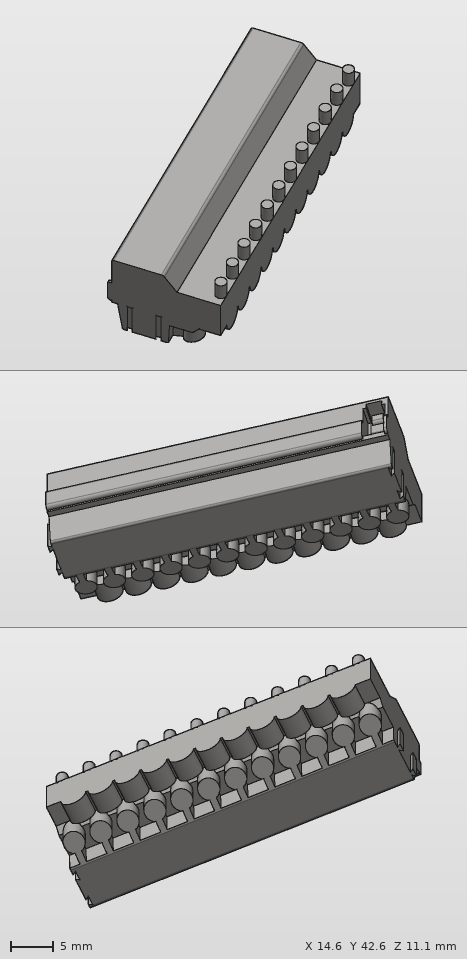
import cadquery as cq

TOTAL_LENGTH = 42.6
TAIL_DEPTH = 0.45
BODY_LENGTH = TOTAL_LENGTH - TAIL_DEPTH
WIDTH = 14.6
HEIGHT = 11.1

POLE_COUNT = 12
FIRST_POLE_Y = 1.75
LAST_POLE_Y = 40.25
POLE_PITCH = (LAST_POLE_Y - FIRST_POLE_Y) / (POLE_COUNT - 1)

FACE_X = 0.55
RAIL_TOP_Z = 7.25
RAIL_BOTTOM_Z = 4.25
RAIL_TOP_ROUND = 0.3
RAIL_BOTTOM_ROUND = 0.5
PLUG_TOP_Z = 4.0
PLUG_LEFT_TOP_X = 1.3
PLUG_LEFT_BOTTOM_X = 1.95
PLUG_RIGHT_BOTTOM_X = 7.62
PLUG_RIGHT_LOW_X = 7.88
PLUG_RIGHT_TOP_X = 8.0
PLUG_ROUND = 0.3
RIDGE_RIGHT_X = 7.2
RIDGE_LEFT_ROUND = 0.25
RIDGE_RIGHT_ROUND = 0.5
DECK_LEFT_X = 9.0
DECK_Z = 9.0
SHELF_Z = 3.0
SHELF_RIGHT_X = 11.0
OVERHANG_LEFT_X = 11.8
OVERHANG_Z = 3.9

UNDERSIDE_END_X = OVERHANG_LEFT_X
UNDERSIDE_END_Z = 1.15
UNDERSIDE_SLOPE = UNDERSIDE_END_Z / (UNDERSIDE_END_X - PLUG_RIGHT_BOTTOM_X)

PIN_RADIUS = 0.72
PIN_X = WIDTH - PIN_RADIUS

POST_RADIUS = 1.3
POST_X = UNDERSIDE_END_X - POST_RADIUS
POST_WEB_THICKNESS = 0.85

RIB_RADIUS = 1.6

TAIL_XS = (2.9, 6.6)
TAIL_NECK = 0.43
TAIL_HEAD = 1.02
GROOVE_CLEARANCE = 0.2

POCKET_Y0 = 0.4
POCKET_Y1 = 3.1
POCKET_MID_Y = (POCKET_Y0 + POCKET_Y1) / 2
POCKET_BACK_X = 2.73
POCKET_TOP_Z = 9.8
NOTCH_WIDTH = 1.9
NOTCH_TOP_Z = 10.47
CEILING_DROP = 0.25
LIP_Z = 4.75
LIP_END_X = 1.2
LIP_RISE = 0.13

LATCH_FACE_X = 2.1
UPPER_TONGUE_WIDTH = 1.4
UPPER_TONGUE_TOP_Z = 10.0
UPPER_TONGUE_BOTTOM_Z = 8.6
UPPER_TONGUE_ROUND = 0.5
PLATE_WIDTH = 1.85
PLATE_X = 2.43
PLATE_TOP_Z = 9.03
PLATE_BEND_Z = 7.25
PLATE_BOTTOM_Z = 6.4
PLATE_TAPER = 0.13
LOWER_TONGUE_WIDTH = 1.58
LOWER_TONGUE_TOP_Z = 6.85
LOWER_TONGUE_FACE_TOP_Z = 6.35
LOWER_TONGUE_BOTTOM_Z = 5.0
LOWER_TONGUE_ROUND = 0.45


def along_y(points, y_start, y_end):
    """Prism with an X-Z outline, running from y_start to y_end."""
    return (
        cq.Workplane("XZ", origin=(0, y_start, 0))
        .polyline(points)
        .close()
        .extrude(y_start - y_end)
    )


def across_pocket(points, width):
    """Prism with an X-Z outline, centred on the pocket."""
    return along_y(points, POCKET_MID_Y - width / 2, POCKET_MID_Y + width / 2)


def round_edge(solid, x, z, radius):
    """Fillet the lengthwise edge that passes closest to (x, z)."""
    middle_y = solid.val().BoundingBox().center.y
    edge = cq.selectors.NearestToPointSelector((x, middle_y, z))
    return solid.edges("|Y").edges(edge).fillet(radius)


def underside_z(x):
    """Height of the sloping underside at x."""
    return UNDERSIDE_SLOPE * (x - PLUG_RIGHT_BOTTOM_X)


def make_housing():
    """Housing with its constant cross-section and rounded lengthwise edges."""
    outline = [
        (PLUG_LEFT_BOTTOM_X, 0),
        (PLUG_RIGHT_BOTTOM_X, 0),
        (PLUG_RIGHT_LOW_X, underside_z(PLUG_RIGHT_LOW_X)),
        (PLUG_RIGHT_TOP_X, SHELF_Z),
        (SHELF_RIGHT_X, SHELF_Z),
        (OVERHANG_LEFT_X, OVERHANG_Z),
        (WIDTH, OVERHANG_Z),
        (WIDTH, DECK_Z),
        (DECK_LEFT_X, DECK_Z),
        (RIDGE_RIGHT_X, HEIGHT),
        (FACE_X, HEIGHT),
        (FACE_X, RAIL_TOP_Z),
        (0, RAIL_TOP_Z),
        (0, RAIL_BOTTOM_Z),
        (FACE_X, RAIL_BOTTOM_Z),
        (FACE_X, PLUG_TOP_Z),
        (PLUG_LEFT_TOP_X, PLUG_TOP_Z),
    ]
    housing = along_y(outline, 0, BODY_LENGTH)
    housing = round_edge(housing, PLUG_LEFT_BOTTOM_X, 0, PLUG_ROUND)
    housing = round_edge(housing, FACE_X, HEIGHT, RIDGE_LEFT_ROUND)
    housing = round_edge(housing, RIDGE_RIGHT_X, HEIGHT, RIDGE_RIGHT_ROUND)
    housing = round_edge(housing, 0, RAIL_TOP_Z, RAIL_TOP_ROUND)
    return round_edge(housing, 0, RAIL_BOTTOM_Z, RAIL_BOTTOM_ROUND)


def make_pin(y):
    """Upright pin that ends level with the top of the housing."""
    return cq.Workplane("XY", origin=(PIN_X, y, DECK_Z)).circle(PIN_RADIUS).extrude(HEIGHT - DECK_Z)


def make_post(y):
    """Round post with a web back to the plug, cut off by the sloping underside."""
    web_length = POST_X - PLUG_RIGHT_BOTTOM_X
    post = cq.Workplane("XY", origin=(POST_X, y, 0)).circle(POST_RADIUS).extrude(OVERHANG_Z)
    web = (
        cq.Workplane("XY", origin=(POST_X - web_length / 2, y, 0))
        .rect(web_length, POST_WEB_THICKNESS)
        .extrude(OVERHANG_Z)
    )
    envelope = along_y(
        [
            (PLUG_RIGHT_BOTTOM_X, 0),
            (UNDERSIDE_END_X, UNDERSIDE_END_Z),
            (UNDERSIDE_END_X, OVERHANG_Z),
            (PLUG_RIGHT_BOTTOM_X, OVERHANG_Z),
        ],
        y - POST_RADIUS,
        y + POST_RADIUS,
    )
    return post.union(web).intersect(envelope)


def make_rib(y):
    """Rod along X whose upper half lies inside the housing."""
    return (
        cq.Workplane("YZ", origin=(OVERHANG_LEFT_X, y, OVERHANG_Z))
        .circle(RIB_RADIUS)
        .extrude(WIDTH - OVERHANG_LEFT_X)
    )


def make_dovetail(x, y, extra_width):
    """Dovetail as tall as the plug, widening towards +Y from its neck at y."""
    neck = (TAIL_NECK + extra_width) / 2
    head = (TAIL_HEAD + extra_width) / 2
    outline = [
        (x - neck, y),
        (x + neck, y),
        (x + head, y + TAIL_DEPTH),
        (x - head, y + TAIL_DEPTH),
    ]
    return cq.Workplane("XY").polyline(outline).close().extrude(PLUG_TOP_Z)


def make_pocket():
    """Latch pocket with a sloping lip and ceiling, raised by a narrower notch in the middle."""
    pocket = along_y(
        [
            (FACE_X, LIP_Z),
            (LIP_END_X, LIP_Z + LIP_RISE),
            (POCKET_BACK_X, LIP_Z + LIP_RISE),
            (POCKET_BACK_X, POCKET_TOP_Z - CEILING_DROP),
            (FACE_X, POCKET_TOP_Z),
            (0, POCKET_TOP_Z),
            (0, PLUG_TOP_Z),
            (FACE_X, PLUG_TOP_Z),
        ],
        POCKET_Y0,
        POCKET_Y1,
    )
    notch = across_pocket(
        [
            (FACE_X, LIP_Z + LIP_RISE),
            (POCKET_BACK_X, LIP_Z + LIP_RISE),
            (POCKET_BACK_X, NOTCH_TOP_Z - CEILING_DROP),
            (FACE_X, NOTCH_TOP_Z),
        ],
        NOTCH_WIDTH,
    )
    return pocket.union(notch)


def make_latch():
    """Two rounded tongues and the plate between them."""
    upper = across_pocket(
        [
            (LATCH_FACE_X, UPPER_TONGUE_BOTTOM_Z),
            (POCKET_BACK_X, UPPER_TONGUE_BOTTOM_Z),
            (POCKET_BACK_X, UPPER_TONGUE_TOP_Z),
            (LATCH_FACE_X, UPPER_TONGUE_TOP_Z),
        ],
        UPPER_TONGUE_WIDTH,
    )
    plate = across_pocket(
        [
            (PLATE_X + PLATE_TAPER, PLATE_BOTTOM_Z),
            (POCKET_BACK_X, PLATE_BOTTOM_Z),
            (POCKET_BACK_X, PLATE_TOP_Z),
            (PLATE_X, PLATE_TOP_Z),
            (PLATE_X, PLATE_BEND_Z),
        ],
        PLATE_WIDTH,
    )
    lower = across_pocket(
        [
            (LATCH_FACE_X, LOWER_TONGUE_BOTTOM_Z),
            (POCKET_BACK_X, LOWER_TONGUE_BOTTOM_Z),
            (POCKET_BACK_X, LOWER_TONGUE_TOP_Z),
            (PLATE_X, LOWER_TONGUE_TOP_Z),
            (LATCH_FACE_X, LOWER_TONGUE_FACE_TOP_Z),
        ],
        LOWER_TONGUE_WIDTH,
    )
    upper = round_edge(upper, LATCH_FACE_X, UPPER_TONGUE_BOTTOM_Z, UPPER_TONGUE_ROUND)
    lower = round_edge(lower, LATCH_FACE_X, LOWER_TONGUE_BOTTOM_Z, LOWER_TONGUE_ROUND)
    return upper.union(plate).union(lower)


result = make_housing().cut(make_pocket()).union(make_latch())
for x in TAIL_XS:
    result = result.cut(make_dovetail(x, 0, GROOVE_CLEARANCE))
    result = result.union(make_dovetail(x, BODY_LENGTH, 0))
for pole in range(POLE_COUNT):
    pole_y = FIRST_POLE_Y + pole * POLE_PITCH
    result = result.union(make_pin(pole_y)).union(make_post(pole_y))
    if pole > 0:
        result = result.union(make_rib(pole_y - POLE_PITCH / 2))